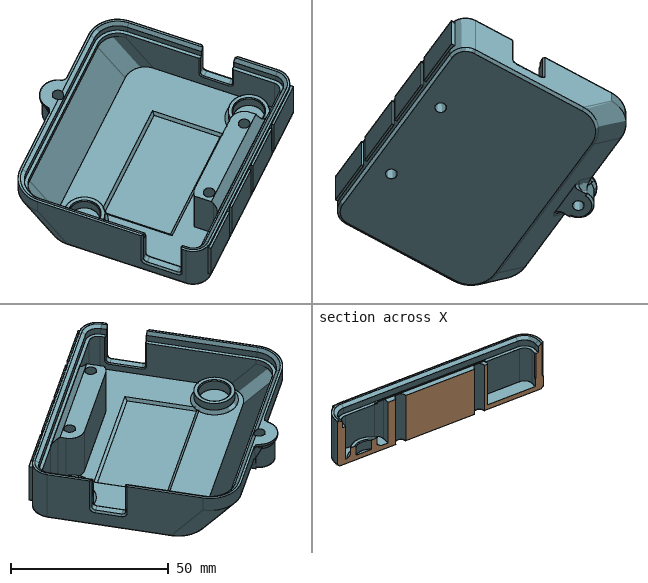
import cadquery as cq
import math

length, width, height = 66.75, 77.0, 18.3
left_radius, right_radius = 10.0, 6.0
bottom_chamfer = 0.9
slope_top = 13.4
slope_run = 10.3

wall = 3.15
floor = 2.0
lid_wall = 2.0
rim_width = 0.8
rim_chamfer_depth = 0.85
ledge_z = 15.2

notches = [(46.0, 58.8, 4.6, -1), (35.35, 46.35, 6.15, 1)]
notch_radius = 1.2
notch_chamfer = 0.6
notch_inner_chamfer = 0.4

screw_diameter = 3.6
boss_diameter = 10.0
boss_drop = 10.9
boss_chamfer = 0.8
boss_blend = 3.0
lug_y = 3.0
lug_radius = 5.85
lug_plate = 0.85
lug_blend = 1.8
lug_cone_rise = 2.0
lug_gusset_height = 5.2
lug_gusset_blend = 2.6
foot_blend = 1.5
sharp_blend = 0.1

block_screw_x = 58.9
block_screws_y = (-14.55, 14.8)
block_bottom_y = -17.6
block_radius = 4.85
block_slope_x = 60.9
block_blend = 2.0

ring_centres = [(21.95, -28.6), (54.8, 28.6)]
ring_outer, ring_inner = 13.0, 10.0
ring_height = 3.8
ring_foot = 1.1
ring_lead_in = 0.3

window_x, window_y = (25.5, 49.9), (-23.6, 19.7)
window_slope = 0.9
window_depth = 0.85

pad_spans = [(-34.1, -18.55), (-16.6, -0.55), (1.15, 16.9), (18.55, 34.9)]
pad_z = (3.6, 17.4)
pad_thickness = 0.8

run_per_z = slope_run / (slope_top - bottom_chamfer)


def outline(z, inset=0.0, left_shift=0.0):
    """Rounded tray outline at height z, moved inwards and with its left side shifted."""
    x0 = inset + left_shift
    x1 = length - inset
    y1 = width / 2 - inset
    r_left = left_radius - inset
    r_right = right_radius - inset
    k_left = r_left * (1 - math.sqrt(0.5))
    k_right = r_right * (1 - math.sqrt(0.5))
    return (
        cq.Workplane("XY", origin=(0, 0, z))
        .moveTo(x0 + r_left, -y1)
        .lineTo(x1 - r_right, -y1)
        .threePointArc((x1 - k_right, -y1 + k_right), (x1, -y1 + r_right))
        .lineTo(x1, y1 - r_right)
        .threePointArc((x1 - k_right, y1 - k_right), (x1 - r_right, y1))
        .lineTo(x0 + r_left, y1)
        .threePointArc((x0 + k_left, y1 - k_left), (x0, y1 - r_left))
        .lineTo(x0, -y1 + r_left)
        .threePointArc((x0 + k_left, -y1 + k_left), (x0 + r_left, -y1))
        .close()
    )


def between(lower, upper):
    """Straight-sided solid joining two outlines."""
    wires = [lower.val(), upper.val()]
    return cq.Workplane(cq.Solid.makeLoft(wires, True))


def box(x_range, y_range, z_range):
    sizes = [b - a for a, b in (x_range, y_range, z_range)]
    corner = (x_range[0], y_range[0], z_range[0])
    return cq.Workplane("XY", origin=corner).box(*sizes, centered=False)


def cylinder(x, y, z, diameter, depth):
    return cq.Workplane("XY", origin=(x, y, z)).circle(diameter / 2).extrude(depth)


def outer_body():
    foot = between(
        outline(0, bottom_chamfer, slope_run),
        outline(bottom_chamfer, 0, slope_run),
    )
    leaning = between(outline(bottom_chamfer, 0, slope_run), outline(slope_top))
    upright = outline(slope_top).extrude(height - slope_top)
    return foot.union(leaning).union(upright)


def cavity():
    floor_shift = run_per_z * (slope_top - floor)
    chamfer_z = height - rim_chamfer_depth
    lower = between(outline(floor, wall, floor_shift), outline(slope_top, wall))
    middle = outline(slope_top, wall).extrude(height - slope_top)
    lid_recess = outline(ledge_z, lid_wall).extrude(height - ledge_z)
    lead_in = between(outline(chamfer_z, lid_wall), outline(height, rim_width))
    return lower.union(middle).union(lid_recess).union(lead_in)


def lug_boss():
    """Round boss with a web running into the leaning wall."""
    radius = boss_diameter / 2
    bottom = height - boss_drop
    web_end = run_per_z * (slope_top - bottom) + wall / 2
    boss = cylinder(0, 0, bottom, boss_diameter, boss_drop).faces("<Z").chamfer(boss_chamfer)
    web = box((0, web_end), (-radius, radius), (bottom, height))
    return boss.union(web)


def blend_section(z, wall_x, blend):
    """Outline as wide as the boss, flaring out into the wall at wall_x through concave arcs."""
    radius = boss_diameter / 2
    reach = radius + blend
    start_x = wall_x - blend
    inside_x = wall_x + wall / 2
    mid_x = start_x + blend * math.sqrt(0.5)
    mid_y = reach - blend * math.sqrt(0.5)
    return (
        cq.Workplane("XY", origin=(0, 0, z))
        .moveTo(inside_x, -reach)
        .lineTo(wall_x, -reach)
        .threePointArc((mid_x, -mid_y), (start_x, -radius))
        .lineTo(start_x, radius)
        .threePointArc((mid_x, mid_y), (wall_x, reach))
        .lineTo(inside_x, reach)
        .close()
    )


def lower_blend():
    """Filler between the boss web and the leaning wall, narrower at its foot."""
    bottom = height - boss_drop
    foot_top = bottom + boss_chamfer
    middle = blend_section(foot_top, run_per_z * (slope_top - foot_top), boss_blend)
    foot = blend_section(bottom, run_per_z * (slope_top - bottom), foot_blend)
    filler = between(foot, middle).union(between(middle, blend_section(slope_top, 0, boss_blend)))
    reach = boss_diameter / 2 + boss_blend
    return filler.intersect(box((0, length), (-reach, reach), (bottom, slope_top)))


def plate_support():
    """Cone and fading gussets that carry the lug plate."""
    plate_bottom = height - lug_plate
    radius = boss_diameter / 2
    cone_height = lug_cone_rise * (lug_radius - radius)
    cone = cq.Workplane(
        cq.Solid.makeCone(radius, lug_radius, cone_height, cq.Vector(0, 0, plate_bottom - cone_height))
    )
    outside = box((-lug_radius, rim_width), (-lug_radius, lug_radius), (0, height))
    gussets = between(
        blend_section(plate_bottom - lug_gusset_height, 0, sharp_blend),
        blend_section(plate_bottom, 0, lug_gusset_blend),
    )
    return cone.intersect(outside).union(gussets)


def lug_plate_outline(z):
    """Half disc whose ends are rounded out into the left wall."""
    blend_y = math.sqrt((lug_radius + lug_blend) ** 2 - lug_blend**2)
    share = lug_radius / (lug_radius + lug_blend)
    touch_x, touch_y = -lug_blend * share, blend_y * share
    half_turn = math.atan2(blend_y, lug_blend) / 2
    mid_x = -lug_blend + lug_blend * math.cos(half_turn)
    mid_y = blend_y - lug_blend * math.sin(half_turn)
    return (
        cq.Workplane("XY", origin=(0, 0, z))
        .moveTo(rim_width, -blend_y)
        .lineTo(0, -blend_y)
        .threePointArc((mid_x, -mid_y), (touch_x, -touch_y))
        .threePointArc((-lug_radius, 0), (touch_x, touch_y))
        .threePointArc((mid_x, mid_y), (0, blend_y))
        .lineTo(rim_width, blend_y)
        .close()
    )


def notch(left, right, bottom, side):
    """U-shaped cutter through one long wall, chamfered on its outer and inner faces."""
    middle_x = (left + right) / 2
    cut_height = height - bottom + notch_radius + notch_chamfer
    middle_z = bottom + cut_height / 2
    outer_y = width / 2

    def slab(y, depth, grow):
        return (
            cq.Workplane("XY", origin=(middle_x, y, middle_z))
            .box(right - left + 2 * grow, depth, cut_height + 2 * grow)
            .edges("|Y")
            .fillet(notch_radius + grow)
        )

    cutter = slab(outer_y - wall / 2, wall, 0)
    flares = [(outer_y, notch_chamfer, "<Y"), (outer_y - wall, notch_inner_chamfer, ">Y")]
    for y, size, narrow_face in flares:
        flare = slab(y, 2 * size, size).faces(narrow_face).chamfer(size)
        cutter = cutter.union(flare)
    return cutter if side > 0 else cutter.mirror("XZ")


def screw_block():
    """Block against the right wall, rounded about its screws, its top sloping to the ledge."""
    radius = block_radius
    left = block_screw_x - radius
    inner_wall = length - wall
    low_screw, high_screw = block_screws_y
    top_y = high_screw + radius
    low_centre_drop = low_screw - block_bottom_y
    corner_x = block_screw_x - math.sqrt(radius**2 - low_centre_drop**2)
    diagonal = radius * math.sqrt(0.5)
    blend_middle = block_blend * (1 - math.sqrt(0.5))
    half_angle = math.asin(low_centre_drop / radius) / 2
    arc_middle = (
        block_screw_x - radius * math.cos(half_angle),
        low_screw - radius * math.sin(half_angle),
    )
    body = (
        cq.Workplane("XY", origin=(0, 0, floor))
        .moveTo(corner_x, block_bottom_y)
        .lineTo(inner_wall - block_blend, block_bottom_y)
        .threePointArc(
            (inner_wall - blend_middle, block_bottom_y - blend_middle),
            (inner_wall, block_bottom_y - block_blend),
        )
        .lineTo(inner_wall, top_y + block_blend)
        .threePointArc((inner_wall - blend_middle, top_y + blend_middle), (inner_wall - block_blend, top_y))
        .lineTo(block_screw_x, top_y)
        .threePointArc((block_screw_x - diagonal, high_screw + diagonal), (left, high_screw))
        .lineTo(left, low_screw)
        .threePointArc(arc_middle, (corner_x, block_bottom_y))
        .close()
        .extrude(height - floor)
    )
    slope = (
        cq.Workplane("XZ", origin=(0, width / 2, 0))
        .moveTo(block_slope_x, height)
        .lineTo(block_slope_x + height - ledge_z, ledge_z)
        .lineTo(length, ledge_z)
        .lineTo(length, height)
        .close()
        .extrude(width)
    )
    return body.cut(slope)


def ring_socket(x, y):
    """Magnet ring standing on the floor, flared at its foot."""
    profile = [
        (ring_inner / 2, 0),
        (ring_outer / 2 + ring_foot, 0),
        (ring_outer / 2, ring_foot),
        (ring_outer / 2, ring_height),
        (ring_inner / 2 + ring_lead_in, ring_height),
        (ring_inner / 2, ring_height - ring_lead_in),
    ]
    ring = cq.Workplane("XZ").polyline(profile).close().revolve(360, (0, 0), (0, 1))
    return ring.translate((x, y, floor))


def window_recess():
    """Shallow rectangular recess with sloping sides."""
    size_x = window_x[1] - window_x[0]
    size_y = window_y[1] - window_y[0]
    middle = (sum(window_x) / 2, sum(window_y) / 2, floor)
    return (
        cq.Workplane("XY", origin=middle)
        .rect(size_x, size_y)
        .workplane(offset=-window_depth)
        .rect(size_x - 2 * window_slope, size_y - 2 * window_slope)
        .loft(ruled=True)
    )


result = outer_body()
lug_parts = [
    lug_boss(),
    lower_blend(),
    plate_support(),
    lug_plate_outline(height - lug_plate).extrude(lug_plate),
]
for lug_part in lug_parts:
    result = result.union(lug_part.translate((0, lug_y, 0)))

for span in pad_spans:
    result = result.union(box((length - rim_width, length + pad_thickness), span, pad_z))

result = result.cut(cavity()).cut(window_recess())
result = result.union(screw_block())
for centre in ring_centres:
    result = result.union(ring_socket(*centre))

for left, right, bottom, side in notches:
    result = result.cut(notch(left, right, bottom, side))
screw_places = [(0, lug_y)] + [(block_screw_x, y) for y in block_screws_y]
for x, y in screw_places:
    result = result.cut(cylinder(x, y, 0, screw_diameter, height))